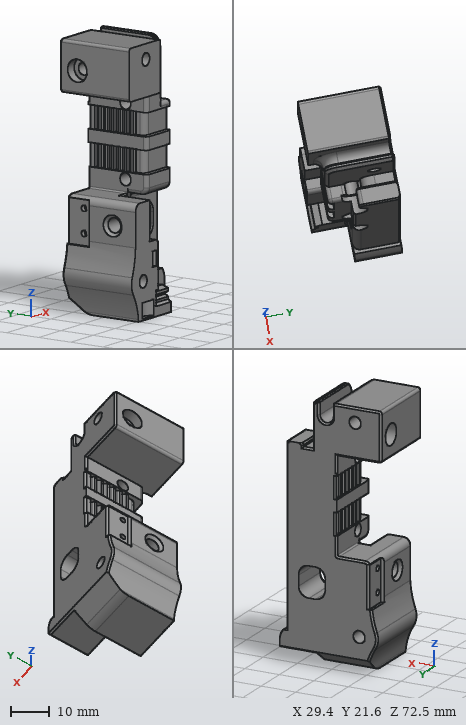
import cadquery as cq
import math

depth = 21.6
height = 72.5
back_chamfer = 0.5

plate_front = 9.3
plate_right = 27.55
plate_left = 9.35
plate_edge_radius = 1.9
plate_bottom = 3.8
foot_top = 8.7
foot_right = 29.4
foot_nose_x = 28.4
foot_nose_z = 6.2
foot_nose_middle = (29.1, 7.6)
foot_corner_radius = 0.5
bolt_rail_chamfer = 0.5
window_left = 16.25
window_right = 23.9
window_bottom = 18.5
window_top = 27.25
window_radius = 2.9
window_chamfer = 0.4

column_left = 12.8
column_right = 24.0
column_front = 3.3
column_edge_radius = 1.1
column_bottom = 31.2
column_top = 54.75
column_lower_radius = 2.0
column_root_radius = 1.2
fin_left = 13.3
fin_root = 14.15
fin_front = 4.85
fin_corner_radius = 1.6
fin_groove_width = 1.3
fin_groove_count = 7
first_groove_y = 19.9
last_groove_y = 7.9
fin_pitch = (first_groove_y - last_groove_y) / (fin_groove_count - 1)
fin_groove_floor = 0.9
fin_groove_deep_x = 14.35
fin_groove_shallow_x = 13.8
fin_bays = ((36.6, 43.0), (46.55, 52.9))
bolt_y = 10.0
bolt_heights = (34.7, 54.8)
bolt_hole_diameter = 3.4
bolt_head_diameter = 6.0

head_size = 14.1
head_radius = 0.8
head_slant_width = 0.7
head_slant_drop = 0.2
head_bottom = height - head_size
groove_radius = 1.95
groove_floor = 66.85
groove_bend_radius = 4.0
tab_left = head_size + 2 * groove_radius
tab_right = 19.9
tab_edge = 0.9
tab_inner_edge = 0.35
tab_corner_radius = 3.1
tab_front = column_front
cross_hole_diameter = 3.4
head_hole_x = 7.55
head_hole_z = 68.4
side_hole_diameter = 3.3
side_hole_y = 16.2
side_hole_z = 64.75
side_counterbore_depth = 3.0

shoulder_top = 59.3
shoulder_crest_y = 15.95
shoulder_step_y = 12.4
shoulder_step_top = 56.55
shoulder_step_bottom = 55.75
shoulder_toe_y = 7.4
clip_left = 22.6
clip_front = 10.8
clip_top = 60.25
clip_bottom = 53.65
clip_radius = 1.0
clip_edge = 0.4

block_left = 2.9
block_top = 31.1
block_corner_radius = 2.0
block_step_z = 20.2
block_right = 13.1
block_step_radius = 1.15
pivot_x = 6.4
pivot_z = 10.3
pivot_round = 5.3
pivot_arc_top = 12.2
pivot_arc_bottom = 7.55
flank_top = 19.7
upper_flank_middle = (2.5, 15.95)
lower_flank_middle = (3.3, 4.5)
toe_x = 4.2
toe_z = 0.7
base_right = 18.9
base_top = 6.9
base_root_chamfer = 0.7
block_hole_diameter = 4.0
block_hole_y = 7.2
block_hole_z = 24.6
block_sink_diameter = 5.7
block_sink_depth = 0.9
cove_radius = 0.4
rear_slope_y = 14.4
rear_slope_z = 4.2
rear_slope_bend = (15.9, 0.3)
rear_slope_start = (17.1, 0.9)

rail_left = 12.2
rail_base_z = 2.7
rail_foot_z = 3.3
rail_groove_taper = 0.6
rail_lip_y = 0.9
rail_groove_y = 1.75
rail_groove_bottom = 4.0
rail_groove_top = 5.45
rail_lip_top = 6.2
rail_crest_y = 2.75

seat_x = 3.6
seat_front = 14.4
seat_bottom = 18.1
seat_top = 30.3
seat_wall_slope = 0.6
pin_diameter = 1.6
pin_y = 16.6
pin_heights = (21.3, 27.9)
pin_depth = 1.45

slot_left = 10.65
slot_right = 12.25
slot_bottom = 13.3
slot_top = 17.4
slot_depth = 0.8
recess_left = 6.0
recess_right = 11.2
recess_bottom = 0.5
recess_top = 4.7
recess_depth = 1.6


def box(x0, x1, y0, y1, z0, z1):
    return cq.Workplane("XY").box(x1 - x0, y1 - y0, z1 - z0, centered=False).translate((x0, y0, z0))


def cylinder_x(diameter, y, z, x0, x1):
    return cq.Workplane("YZ", origin=(x0, y, z)).circle(diameter / 2).extrude(x1 - x0)


def cylinder_y(diameter, x, z, y0, y1):
    return cq.Workplane("XZ", origin=(x, y0, z)).circle(diameter / 2).extrude(y0 - y1)


def cylinder_z(diameter, x, y, z0, z1):
    return cq.Workplane("XY", origin=(x, y, z0)).circle(diameter / 2).extrude(z1 - z0)


def cone_x(start_diameter, end_diameter, y, z, x0, length):
    cone = cq.Solid.makeCone(start_diameter / 2, end_diameter / 2, length,
                             pnt=cq.Vector(x0, y, z), dir=cq.Vector(1, 0, 0))
    return cq.Workplane(cone)


def make_plate():
    upright = box(plate_left, plate_right, plate_front, depth, plate_bottom, clip_bottom)
    upright = upright.cut(box(0, column_left, plate_front, depth, block_top, height))
    lower_edge = box(plate_right - plate_edge_radius, plate_right, plate_front,
                     plate_front + plate_edge_radius, foot_top, bolt_heights[0])
    lower_edge = lower_edge.cut(cylinder_z(2 * plate_edge_radius, plate_right - plate_edge_radius,
                                           plate_front + plate_edge_radius, foot_top, bolt_heights[0]))
    bolt_rail_edge = (cq.Workplane("XY", origin=(plate_right, plate_front, bolt_heights[0]))
                 .polyline([(-bolt_rail_chamfer, 0), (0, 0), (0, bolt_rail_chamfer)]).close()
                 .extrude(bolt_heights[1] - bolt_heights[0]))
    foot = (cq.Workplane("XZ", origin=(0, plate_front, 0))
            .moveTo(base_right, plate_bottom).lineTo(foot_right, plate_bottom).lineTo(foot_right, foot_nose_z)
            .threePointArc(foot_nose_middle, (foot_nose_x, foot_top)).lineTo(base_right, foot_top).close()
            .extrude(plate_front - depth))
    foot = foot.edges("|Y and >X and <Z").fillet(foot_corner_radius)
    return upright.cut(lower_edge).cut(bolt_rail_edge).union(foot)


def make_column():
    column = box(column_left, column_right, column_front, depth, column_bottom, column_top)
    column = column.edges("|X and <Y and <Z").fillet(column_lower_radius)
    column = column.edges("|X and <Y and >Z").fillet(column_edge_radius)
    column = column.faces("<Y").edges("|Z").fillet(column_edge_radius)
    column = column.edges("|Z and >Y and <X").chamfer(back_chamfer)
    root = box(column_left + column_edge_radius, column_right - column_edge_radius,
               plate_front - column_root_radius, plate_front,
               column_bottom - column_root_radius, column_bottom)
    root = root.cut(cylinder_x(2 * column_root_radius, plate_front - column_root_radius,
                               column_bottom - column_root_radius, 0, foot_right))
    return column.union(root)


def fin_bay_cut(z0, z1):
    """Material removed between two bands to leave the grooved fins and a rounded corner."""
    bay = box(0, column_right, 0, depth, z0, z1)
    core = box(fin_root, column_right, fin_front, depth, z0, z1)
    core = core.edges("|Z and <X and <Y").fillet(fin_corner_radius)
    fins = box(fin_left, column_right, last_groove_y, depth, z0, z1)
    fins = fins.edges("|Z and <X and >Y").chamfer(back_chamfer)
    kept = core.union(fins)
    for index in range(fin_groove_count):
        y = first_groove_y - index * fin_pitch
        groove = cq.Workplane("XY", origin=(0, 0, z0)).polyline([
            (0, y), (fin_groove_deep_x, y), (fin_groove_shallow_x, y - fin_groove_floor),
            (fin_left, y - fin_groove_width), (0, y - fin_groove_width)]).close().extrude(z1 - z0)
        kept = kept.cut(groove)
    return bay.cut(kept)


def make_head():
    block = box(0, head_size, 0, depth, head_bottom, height)
    block = block.edges("|Y and <X").fillet(head_radius)
    slant = cq.Workplane("XZ").polyline([
        (head_size - head_slant_width, height), (head_size, height),
        (head_size, height - head_slant_drop)]).close().extrude(-depth)
    block = block.cut(slant)
    neck_bottom = fin_bays[-1][1]
    neck_top = groove_floor + groove_radius
    neck = box(column_left, tab_right - tab_edge, tab_front, depth, neck_bottom, neck_top)
    neck = neck.edges("|Z and <X and <Y").fillet(column_edge_radius)
    neck = neck.edges("|Z and <X and >Y").chamfer(back_chamfer)
    neck = neck.cut(block)
    tab = box(tab_left, tab_right, tab_front, depth, clip_bottom, height)
    tab = tab.edges("|X and <Y and >Z").fillet(tab_corner_radius)
    tab = tab.faces(">X").edges("not(>Y or <Z)").chamfer(tab_edge)
    tab = tab.faces("<X").edges("not(>Y or <Z)").chamfer(tab_inner_edge)
    web = box(head_size, head_size + groove_radius, tab_front - groove_radius, tab_front,
              head_bottom, groove_floor)
    return block.union(neck).union(tab).union(web)


def cable_groove():
    """Round-bottomed channel that runs forward over the neck and bends down its front."""
    centre_x = head_size + groove_radius
    centre_z = groove_floor + groove_radius
    bend_y = tab_front + groove_bend_radius
    bend_z = groove_floor - groove_bend_radius
    reach = height - bend_z

    def profile(plane, origin):
        return (cq.Workplane(plane, origin=origin)
                .moveTo(-groove_radius, reach).lineTo(-groove_radius, 0)
                .threePointArc((0, -groove_radius), (groove_radius, 0))
                .lineTo(groove_radius, reach).close())

    straight = profile("XZ", (centre_x, depth, centre_z)).extrude(depth - bend_y)
    to_axis = bend_z - centre_z
    bend = profile("XZ", (centre_x, bend_y, centre_z)).revolve(90, (0, to_axis, 0), (1, to_axis, 0))
    drop = cylinder_z(2 * groove_radius, centre_x, tab_front - groove_radius, head_bottom, bend_z)
    return straight.union(bend).union(drop)


def make_shoulder():
    profile = (cq.Workplane("YZ", origin=(tab_left, 0, 0))
               .moveTo(depth, column_bottom).lineTo(depth, shoulder_top)
               .lineTo(shoulder_crest_y, shoulder_top)
               .spline([(shoulder_step_y, shoulder_step_top)],
                       tangents=[(-1, 0), (0, -1)], includeCurrent=True)
               .lineTo(shoulder_step_y, shoulder_step_bottom)
               .spline([(shoulder_toe_y, column_top)], tangents=[(-1, -1), (-1, 0)], includeCurrent=True)
               .lineTo(shoulder_toe_y, column_bottom).close())
    shoulder = profile.extrude(column_right - tab_left)
    clip = box(clip_left, plate_right, clip_front, depth, clip_bottom, clip_top)
    clip = clip.edges("|X and <Y and >Z").fillet(clip_radius)
    for side in ("<X", ">X"):
        clip = clip.faces(side).edges("not(>Y or <Z)").chamfer(clip_edge)
    return shoulder.union(clip)


def make_lower_block():
    pivot_top_x = pivot_x - math.sqrt(pivot_round ** 2 - (pivot_arc_top - pivot_z) ** 2)
    pivot_bottom_x = pivot_x - math.sqrt(pivot_round ** 2 - (pivot_z - pivot_arc_bottom) ** 2)
    outline = (cq.Workplane("XZ")
               .moveTo(toe_x, 0).lineTo(base_right, 0).lineTo(base_right, base_top)
               .lineTo(block_right, base_top).lineTo(block_right, block_step_z)
               .lineTo(plate_left, block_step_z).lineTo(plate_left, block_top)
               .lineTo(block_left, block_top).lineTo(block_left, flank_top)
               .threePointArc(upper_flank_middle, (pivot_top_x, pivot_arc_top))
               .threePointArc((pivot_x - pivot_round, pivot_z), (pivot_bottom_x, pivot_arc_bottom))
               .threePointArc(lower_flank_middle, (toe_x, toe_z)).close())
    block = outline.extrude(-depth)
    top_corner = cq.NearestToPointSelector((block_left, depth / 2, block_top))
    step_corner = cq.NearestToPointSelector((block_right, depth / 2, block_step_z))
    block = block.edges(top_corner).fillet(block_corner_radius)
    block = block.edges(step_corner).fillet(block_step_radius)
    return block.cut(base_rail_cut())


def base_rail_cut():
    """Material removed above the base to leave its stepped front rail."""
    return (cq.Workplane("YZ", origin=(rail_left, 0, 0))
            .moveTo(0, rail_base_z).lineTo(rail_lip_y, rail_foot_z).lineTo(rail_lip_y, rail_groove_bottom)
            .lineTo(rail_groove_y, rail_groove_bottom + rail_groove_taper)
            .lineTo(rail_groove_y, rail_groove_top - rail_groove_taper)
            .lineTo(rail_lip_y, rail_groove_top).lineTo(rail_lip_y, rail_lip_top)
            .lineTo(rail_crest_y, base_top).lineTo(0, base_top).close().extrude(base_right))


def rear_underside_cut():
    """Sloping lower rear edge that runs across the whole base."""
    return (cq.Workplane("YZ").moveTo(rear_slope_y, 0)
            .threePointArc(rear_slope_bend, rear_slope_start).lineTo(depth, rear_slope_z)
            .lineTo(depth, 0).close().extrude(foot_right))


def base_root():
    """Bevelled collar where the base grows out of the rear plate."""
    mirrored = (2 * (base_right + base_root_chamfer), 2 * (base_top + base_root_chamfer))
    collar = (cq.Workplane("XZ", origin=(0, plate_front, 0)).rect(*mirrored)
              .extrude(base_root_chamfer, taper=45))
    room = box(block_right, foot_right, 0, plate_front, plate_bottom, foot_top)
    return collar.intersect(room)


def block_top_cove():
    """Hollow fillet between the lower block's top and the column's left face."""
    cove = box(column_left - cove_radius, column_left, plate_front, depth, block_top, block_top + cove_radius)
    return cove.cut(cylinder_y(2 * cove_radius, column_left - cove_radius, block_top + cove_radius, 0, depth))


def block_top_bevel():
    """Bevel on the front edge of the rear plate where it meets the block's top."""
    return (cq.Workplane("YZ", origin=(plate_left, plate_front, block_top))
            .polyline([(0, 0), (cove_radius, 0), (0, -cove_radius)]).close()
            .extrude(column_left - plate_left))


def chamfer_back(body):
    """Bevel the rear outline of the head, the lower block and the right side of the rear plate."""
    rear = depth - back_chamfer
    beyond = depth + back_chamfer
    margin = back_chamfer / 2
    head = cq.selectors.BoxSelector((-margin, rear, head_bottom - margin),
                                    (column_right, beyond, height + margin))
    block = cq.selectors.BoxSelector((-margin, rear, 0), (column_left - margin, beyond, block_top + margin))
    plate = cq.selectors.BoxSelector((plate_right - margin, rear, foot_top + margin),
                                     (foot_right, beyond, height))
    return body.faces(">Y").edges(head + block + plate).chamfer(back_chamfer)


def side_pocket():
    """Shallow seat on the left flank with two blind pin holes."""
    seat = (cq.Workplane("XY", origin=(0, 0, seat_bottom))
            .moveTo(0, seat_front).lineTo(block_left, seat_front).lineTo(seat_x, seat_front + seat_wall_slope)
            .lineTo(seat_x, depth - back_chamfer).lineTo(seat_x + back_chamfer, depth)
            .lineTo(0, depth).close()
            .extrude(seat_top - seat_bottom))
    for z in pin_heights:
        pin = cylinder_x(pin_diameter, pin_y, z, block_left, seat_x + pin_depth)
        tip = cone_x(pin_diameter, 0, pin_y, z, seat_x + pin_depth, pin_diameter / 2)
        seat = seat.union(pin).union(tip)
    return seat


def round_backed_slot(x0, x1, z0, z1, sag):
    """Front-face cut whose back is an upright arc, deepest in the middle."""
    return (cq.Workplane("XY", origin=(0, 0, z0)).moveTo(x0, 0)
            .threePointArc(((x0 + x1) / 2, sag), (x1, 0)).close().extrude(z1 - z0))


def window():
    width = window_right - window_left
    tall = window_top - window_bottom
    x = (window_left + window_right) / 2
    z = (window_bottom + window_top) / 2
    opening = box(window_left, window_right, plate_front, depth, window_bottom, window_top)
    opening = opening.edges("|Y").fillet(window_radius)
    rim = (cq.Workplane("XZ", origin=(x, plate_front, z))
           .sketch().rect(width + 2 * window_chamfer, tall + 2 * window_chamfer)
           .vertices().fillet(window_radius + window_chamfer).finalize()
           .extrude(-window_chamfer, taper=45))
    return opening.union(rim)


def holes():
    cuts = cylinder_y(cross_hole_diameter, head_hole_x, head_hole_z, 0, depth)
    cuts = cuts.union(cylinder_y(cross_hole_diameter, pivot_x, pivot_z, 0, depth))
    cuts = cuts.union(cylinder_x(side_hole_diameter, side_hole_y, side_hole_z, 0, foot_right))
    cuts = cuts.union(cylinder_x(bolt_head_diameter, side_hole_y, side_hole_z, 0, side_counterbore_depth))
    cuts = cuts.union(cylinder_x(block_hole_diameter, block_hole_y, block_hole_z, 0, foot_right))
    cuts = cuts.union(cone_x(block_sink_diameter, block_hole_diameter, block_hole_y, block_hole_z,
                             block_left, block_sink_depth))
    for z in bolt_heights:
        cuts = cuts.union(cylinder_x(bolt_hole_diameter, bolt_y, z, 0, foot_right))
        cuts = cuts.union(cylinder_x(bolt_head_diameter, bolt_y, z, clip_left, foot_right))
    return cuts


result = make_plate().union(make_column())
for bay_bottom, bay_top in fin_bays:
    result = result.cut(fin_bay_cut(bay_bottom, bay_top))
result = result.union(make_head()).union(make_shoulder()).cut(cable_groove())
result = result.union(make_lower_block()).union(base_root())
result = result.union(block_top_cove()).cut(block_top_bevel()).cut(rear_underside_cut())
result = chamfer_back(result)
result = result.cut(side_pocket()).cut(window()).cut(holes())
result = result.cut(round_backed_slot(slot_left, slot_right, slot_bottom, slot_top, slot_depth))
result = result.cut(round_backed_slot(recess_left, recess_right, recess_bottom, recess_top, recess_depth))